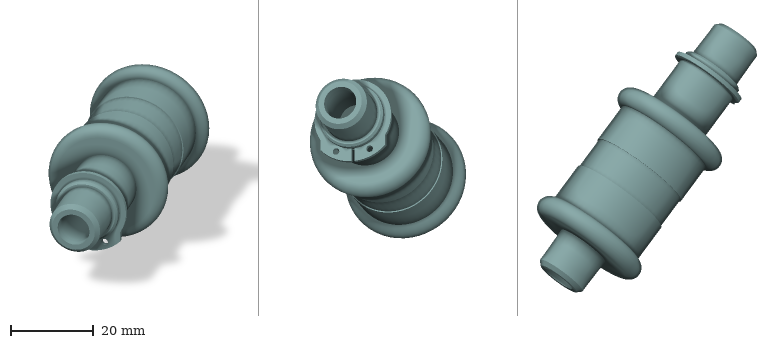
import cadquery as cq
import math

LENGTH = 73.5
SPIGOT_LENGTH = 10.0
GRIP_WIDTH = 5.0
FRONT_END = -LENGTH / 2
REAR_END = LENGTH / 2
SLEEVE_FRONT = FRONT_END + 25.5
SLEEVE_REAR = REAR_END - SPIGOT_LENGTH
BAND_FRONT = 3.75
BAND_REAR = 11.8

SLEEVE_DIAMETER = 25.0
BAND_DIAMETER = 24.4

SPIGOT_ROOT_DIAMETER = 13.15
SPIGOT_TIP_DIAMETER = 12.8
SPIGOT_CHAMFER = 1.0
BORE_DIAMETER = 8.0
BORE_DEPTH = 14.7

SHAFT_DIAMETER = 15.7
COLLAR_FRONT = FRONT_END + SPIGOT_LENGTH
COLLAR_CHAMFER = 0.5
GROOVE_DIAMETER = 15.2
GROOVE_FRONT = FRONT_END + 11.75
GROOVE_WIDTH = 1.4

RING_DIAMETER = 19.1
RING_THICKNESS = 1.0
LUG_RADIUS = 11.1
LUG_HALF_WIDTH = 8.1
LUG_GAP = 0.7
LUG_HOLE_DIAMETER = 1.6
LUG_HOLE_X = 4.2
LUG_HOLE_Z = -8.3


def disc(diameter, start, end):
    """Cylinder on the Y axis running from start to end."""
    plane = cq.Workplane("XZ", origin=(0, start, 0))
    return plane.circle(diameter / 2).extrude(start - end)


def make_sleeve():
    sleeve = disc(SLEEVE_DIAMETER, SLEEVE_FRONT, BAND_FRONT)
    sleeve = sleeve.union(disc(BAND_DIAMETER, BAND_FRONT, BAND_REAR))
    sleeve = sleeve.union(disc(SLEEVE_DIAMETER, BAND_REAR, SLEEVE_REAR))
    for grip_start in (SLEEVE_FRONT, SLEEVE_REAR - GRIP_WIDTH):
        sleeve = sleeve.union(make_grip(grip_start))
    return sleeve


def make_grip(start):
    """Disc whose rim is a full half-round."""
    edge = SLEEVE_DIAMETER / 2
    end = start + GRIP_WIDTH
    profile = (
        cq.Workplane("XY")
        .moveTo(0, start)
        .lineTo(edge, start)
        .threePointArc((edge + GRIP_WIDTH / 2, (start + end) / 2), (edge, end))
        .lineTo(0, end)
        .close()
    )
    return profile.revolve(360, (0, 0, 0), (0, 1, 0))


def make_spigot(tip, inward):
    """Tapered spigot from its tip; inward is the Y direction into the part."""
    root_radius = SPIGOT_ROOT_DIAMETER / 2
    tip_radius = SPIGOT_TIP_DIAMETER / 2
    root = tip + inward * SPIGOT_LENGTH
    profile = (
        cq.Workplane("XY")
        .moveTo(0, tip)
        .lineTo(tip_radius - SPIGOT_CHAMFER, tip)
        .lineTo(tip_radius, tip + inward * SPIGOT_CHAMFER)
        .lineTo(root_radius, root)
        .lineTo(0, root)
        .close()
    )
    return profile.revolve(360, (0, 0, 0), (0, 1, 0))


def make_shaft():
    shaft = disc(SHAFT_DIAMETER, COLLAR_FRONT, SLEEVE_FRONT)
    shaft = shaft.faces("<Y").chamfer(COLLAR_CHAMFER)
    groove_end = GROOVE_FRONT + GROOVE_WIDTH
    groove = disc(SHAFT_DIAMETER, GROOVE_FRONT, groove_end)
    groove = groove.cut(disc(GROOVE_DIAMETER, GROOVE_FRONT, groove_end))
    return shaft.cut(groove)


def make_retaining_ring():
    """Ring seated against the front wall of the groove, lugs downward."""
    plane = cq.Workplane("XZ", origin=(0, GROOVE_FRONT, 0))
    shoulder_z = -math.sqrt((RING_DIAMETER / 2) ** 2 - LUG_HALF_WIDTH ** 2)
    corner_z = -math.sqrt(LUG_RADIUS ** 2 - LUG_HALF_WIDTH ** 2)
    lugs = (
        plane.moveTo(-LUG_HALF_WIDTH, shoulder_z)
        .lineTo(-LUG_HALF_WIDTH, corner_z)
        .threePointArc((0, -LUG_RADIUS), (LUG_HALF_WIDTH, corner_z))
        .lineTo(LUG_HALF_WIDTH, shoulder_z)
        .close()
        .extrude(-RING_THICKNESS)
    )
    holes = (
        plane.pushPoints([(-LUG_HOLE_X, LUG_HOLE_Z), (LUG_HOLE_X, LUG_HOLE_Z)])
        .circle(LUG_HOLE_DIAMETER / 2)
        .extrude(-RING_THICKNESS)
    )
    gap = (
        plane.center(0, -LUG_RADIUS / 2)
        .rect(LUG_GAP, LUG_RADIUS)
        .extrude(-RING_THICKNESS)
    )
    ring_end = GROOVE_FRONT + RING_THICKNESS
    ring = disc(RING_DIAMETER, GROOVE_FRONT, ring_end).union(lugs)
    ring = ring.cut(disc(GROOVE_DIAMETER, GROOVE_FRONT, ring_end))
    return ring.cut(holes).cut(gap)


result = (
    make_sleeve()
    .union(make_shaft())
    .union(make_retaining_ring())
)
for tip, inward in ((FRONT_END, 1), (REAR_END, -1)):
    result = result.union(make_spigot(tip, inward))
    result = result.cut(disc(BORE_DIAMETER, tip, tip + inward * BORE_DEPTH))